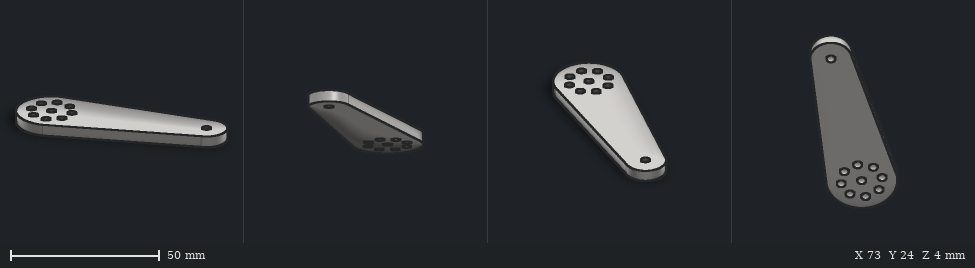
import cadquery as cq

length = 73.0
hub_diameter = 24.0
tip_diameter = 14.0
thickness = 4.0
hole_diameter = 3.0
hole_circle_diameter = 14.0
hole_circle_count = 8

hub_radius = hub_diameter / 2
tip_radius = tip_diameter / 2
center_distance = length - hub_radius - tip_radius


def arm_plate():
    """Tapered plate: a semicircle at each end, joined by straight sides.

    The hub center is at the origin and the tip center lies on +X.
    """
    return (
        cq.Workplane("XY")
        .moveTo(0, hub_radius)
        .threePointArc((-hub_radius, 0), (0, -hub_radius))
        .lineTo(center_distance, -tip_radius)
        .threePointArc((center_distance + tip_radius, 0), (center_distance, tip_radius))
        .close()
        .extrude(thickness)
    )


def drill_holes(plate):
    """Through holes at both end centers and in a ring around the hub center."""
    center_holes = (
        cq.Workplane("XY")
        .pushPoints([(0, 0), (center_distance, 0)])
        .circle(hole_diameter / 2)
        .extrude(thickness)
    )
    ring_holes = (
        cq.Workplane("XY")
        .polarArray(hole_circle_diameter / 2, 0, 360, hole_circle_count)
        .circle(hole_diameter / 2)
        .extrude(thickness)
    )
    return plate.cut(center_holes).cut(ring_holes)


result = drill_holes(arm_plate())